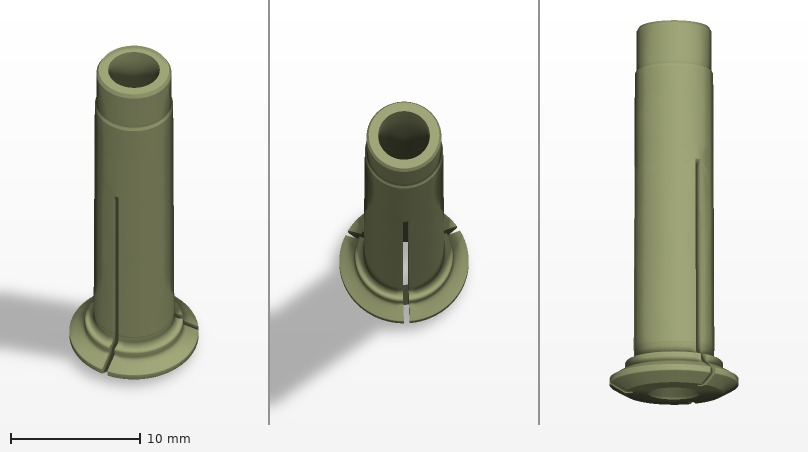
import cadquery as cq
import math

total_length = 29.0
bore_radius = 2.0

spigot_radius = 2.9
spigot_start_z = 25.6
spigot_chamfer_width = 0.17
spigot_chamfer_height = 0.3
shoulder_height = 0.25

shank_top_radius = 3.03
shank_bottom_radius = 3.12
shank_start_z = 3.45
shank_step_height = 0.12
neck_radius = 3.1

collar_radius = 3.8
collar_top_z = 2.5
neck_fillet = 0.4
collar_edge_radius = 0.2
collar_base_fillet = 0.2

flange_radius = 5.0
flange_face_radius = 3.8
flange_slope = math.tan(math.radians(30))
flange_rim_bottom_z = (flange_radius - flange_face_radius) * flange_slope
flange_rim_top_z = 1.15
flange_rim_fillet = 0.1

slot_count = 3
slot_width = 0.45
slot_inner_bottom_z = 1.2
slot_inner_top_z = 17.0
slot_overrun = 1.0
slot_outer_radius = flange_radius + slot_overrun
first_slot_angle = 180.0

edge_match_tolerance = 0.001


def make_sleeve():
    """Revolve the outer profile around Z, round its corners and bore it through."""
    collar_foot_z = flange_rim_top_z + (flange_radius - collar_radius) * flange_slope
    profile = [
        (0, 0),
        (flange_face_radius, 0),
        (flange_radius, flange_rim_bottom_z),
        (flange_radius, flange_rim_top_z),
        (collar_radius, collar_foot_z),
        (collar_radius, collar_top_z),
        (neck_radius, collar_top_z),
        (neck_radius, shank_start_z - shank_step_height),
        (shank_bottom_radius, shank_start_z),
        (shank_top_radius, spigot_start_z - shoulder_height),
        (spigot_radius, spigot_start_z),
        (spigot_radius, total_length - spigot_chamfer_height),
        (spigot_radius - spigot_chamfer_width, total_length),
        (0, total_length),
    ]
    body = cq.Workplane("XZ").polyline(profile).close().revolve(360, (0, 0), (0, 1))
    rounded_corners = [
        (flange_radius, flange_rim_bottom_z, flange_rim_fillet),
        (flange_radius, flange_rim_top_z, flange_rim_fillet),
        (collar_radius, collar_foot_z, collar_base_fillet),
        (collar_radius, collar_top_z, collar_edge_radius),
        (neck_radius, collar_top_z, neck_fillet),
    ]
    for radius, z, fillet in rounded_corners:
        body = round_circle(body, radius, z, fillet)
    bore = cq.Workplane("XY").circle(bore_radius).extrude(total_length)
    return body.cut(bore)


def round_circle(body, radius, z, fillet):
    """Fillet the circular edge of the given radius and height."""

    def is_wanted(edge):
        radius_fits = abs(edge.radius() - radius) < edge_match_tolerance
        height_fits = abs(edge.Center().z - z) < edge_match_tolerance
        return radius_fits and height_fits

    return body.edges("%CIRCLE").filter(is_wanted).fillet(fillet)


def make_slot(angle):
    """Radial slot that grows longer away from the axis, with ends sloped at 45 degrees."""
    reach = slot_outer_radius
    profile = [
        (0, slot_inner_bottom_z + bore_radius),
        (reach, slot_inner_bottom_z + bore_radius - reach),
        (reach, slot_inner_top_z - bore_radius + reach),
        (0, slot_inner_top_z - bore_radius),
    ]
    slot = cq.Workplane("XZ").polyline(profile).close().extrude(slot_width / 2, both=True)
    return slot.rotate((0, 0, 0), (0, 0, 1), angle)


result = make_sleeve()
for index in range(slot_count):
    result = result.cut(make_slot(first_slot_angle + index * 360 / slot_count))